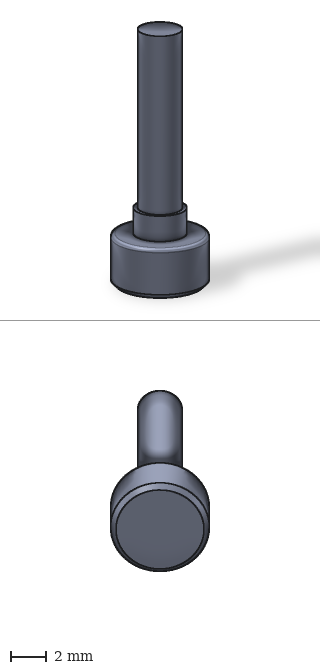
import cadquery as cq

total_height = 15.0
head_diameter = 5.5
head_height = 3.0
head_top_fillet = 0.22
head_bottom_chamfer = 0.3
collar_diameter = 3.0
collar_height = 1.5
shank_diameter = 2.5

shank_start = head_height + collar_height
shank_length = total_height - shank_start


def cylinder(diameter, height, base_height):
    """Solid cylinder on the Z axis, standing at base_height."""
    return cq.Workplane("XY").workplane(offset=base_height).circle(diameter / 2).extrude(height)


head = cylinder(head_diameter, head_height, 0)
head = head.faces(">Z").edges().fillet(head_top_fillet)
head = head.faces("<Z").edges().chamfer(head_bottom_chamfer)

collar = cylinder(collar_diameter, collar_height, head_height)
shank = cylinder(shank_diameter, shank_length, shank_start)

result = head.union(collar).union(shank)